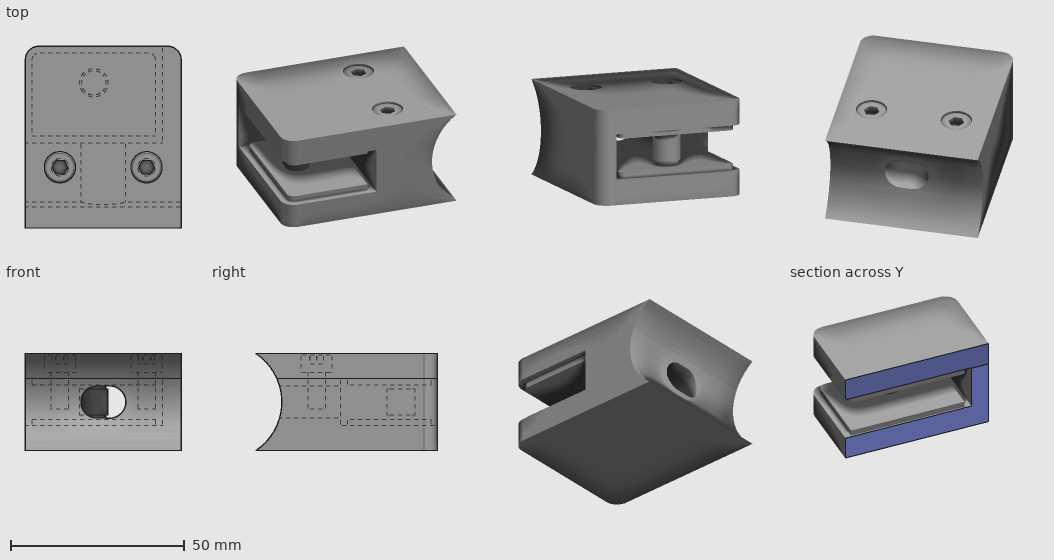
import cadquery as cq
import math


width = 45.0
length = 52.45
height = 28.0
corner_radius = 4.0
tube_radius = 16.85

slot_height = 13.55
slot_depth = 27.95
side_wall = 5.45

passage_width = 12.95
passage_height = 9.25

gasket_thickness = 1.8
gasket_inset = 2.0

pin_radius = 4.1
pin_barrel_height = 7.5
pin_neck_radius = 3.5
pin_to_edge = 10.6

screw_spacing = 25.0
screw_y = 17.5
head_radius = 4.5
head_recess = 0.45
head_height = 5.05
head_edge = 0.45
socket_across_flats = 4.0
socket_depth = 2.5
socket_turn = 28.0
shank_radius = 2.5
shank_length = 10.5

top = height / 2
slot_top = slot_height / 2
slot_back = length - slot_depth
slot_left = -width / 2
slot_right = width / 2 - side_wall
slot_middle = (slot_left + slot_right) / 2
tube_axis_y = -math.sqrt(tube_radius**2 - top**2)
screw_places = [(-screw_spacing / 2, screw_y), (screw_spacing / 2, screw_y)]
head_top = top - head_recess
head_bottom = head_top - head_height


def block_layer(bottom_z, top_z):
    """Slice of the outer block with rounded glass-side corners and the tube hollow."""
    slab = (
        cq.Workplane("XY", origin=(0, length / 2, bottom_z))
        .rect(width, length)
        .extrude(top_z - bottom_z)
        .edges("|Z and >Y")
        .fillet(corner_radius)
    )
    tube = cq.Workplane("YZ").center(tube_axis_y, 0).circle(tube_radius).extrude(width / 2, both=True)
    return slab.cut(tube)


def screw_holes():
    """Stepped holes for both screws, open at the top face of the block."""
    counterbores = (
        cq.Workplane("XY", origin=(0, 0, head_bottom))
        .pushPoints(screw_places)
        .circle(head_radius)
        .extrude(top - head_bottom)
    )
    bores = (
        cq.Workplane("XY", origin=(0, 0, head_bottom))
        .pushPoints(screw_places)
        .circle(shank_radius)
        .extrude(-shank_length)
    )
    return counterbores.union(bores)


def make_body():
    """Lower jaw, web and side wall in one piece."""
    slot = (
        cq.Workplane("XY")
        .box(slot_right - slot_left, slot_depth, slot_height, centered=(True, False, True))
        .translate((slot_middle, slot_back, 0))
    )
    passage = (
        cq.Workplane("XZ")
        .slot2D(passage_width, passage_height)
        .extrude(-slot_back)
    )
    return block_layer(-top, slot_top).cut(slot).cut(passage).cut(screw_holes())


def make_cover():
    """Upper jaw plate with the screw counterbores."""
    return block_layer(slot_top, top).cut(screw_holes())


def make_gasket(bottom_z):
    """Flat pad lying against one jaw, inset evenly from the edges of the slot."""
    return (
        cq.Workplane("XY", origin=(slot_middle, slot_back + slot_depth / 2, bottom_z))
        .rect(slot_right - slot_left - 2 * gasket_inset, slot_depth - 2 * gasket_inset)
        .extrude(gasket_thickness)
        .edges("|Z and >Y")
        .fillet(corner_radius - gasket_inset)
    )


def make_pin():
    """Barrel with a thinner neck at each end, standing between the gaskets."""
    neck_length = slot_height - 2 * gasket_thickness
    barrel = cq.Workplane("XY").cylinder(pin_barrel_height, pin_radius)
    neck = cq.Workplane("XY").cylinder(neck_length, pin_neck_radius)
    return barrel.union(neck).translate((slot_middle, length - pin_to_edge, 0))


def make_screw(x, y):
    """Socket head screw with a rounded head edge."""
    head = (
        cq.Workplane("XY", origin=(x, y, head_bottom))
        .circle(head_radius)
        .extrude(head_height)
        .faces(">Z")
        .edges()
        .fillet(head_edge)
    )
    shank = cq.Workplane("XY", origin=(x, y, head_bottom)).circle(shank_radius).extrude(-shank_length)
    socket = (
        cq.Workplane("XY", origin=(x, y, head_top))
        .transformed(rotate=(0, 0, socket_turn))
        .polygon(6, socket_across_flats, circumscribed=True)
        .extrude(-socket_depth)
    )
    return head.union(shank).cut(socket)


body = make_body()
cover = make_cover()
gaskets = [make_gasket(z) for z in (-slot_top, slot_top - gasket_thickness)]
pin = make_pin()
screws = [make_screw(x, y) for x, y in screw_places]

result = cq.Compound.makeCompound(
    [part.val() for part in (body, cover, *gaskets, pin, *screws)]
)